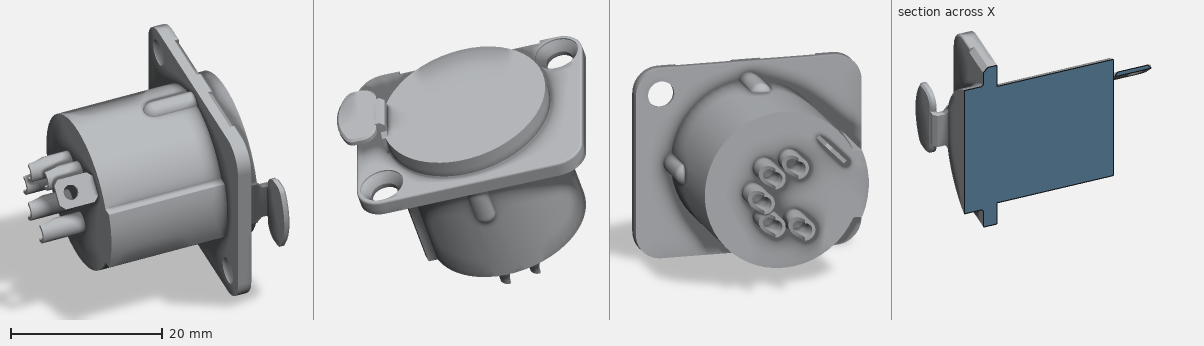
import cadquery as cq
import math


PLATE_WIDTH = 31.0
PLATE_HEIGHT = 26.0
PLATE_THICKNESS = 2.0
PLATE_CORNER_RADIUS = 3.5
PLATE_EDGE_RADIUS = 0.3
SCREW_OFFSET_X = 12.02
SCREW_OFFSET_Z = 9.5
SCREW_RADIUS = 1.798
COUNTERSINK_RADIUS = 2.95
SCREW_LAND = 0.65
LABEL_CHAMFER = 0.7
LABEL_INNER_X = 1.95
LABEL_LENGTH = 7.7

HOUSING_RADIUS = 10.72
HOUSING_LENGTH = 16.55
KEY_RADIUS = 11.82
KEY_WIDTH = 9.07
RIB_RADIUS = 1.44
RIB_CENTRE_RADIUS = 10.27
RIB_STRAIGHT_LENGTH = 5.67

RING_RADIUS = 11.25
RING_FRONT = 4.65
RING_FOOT_CHAMFER = 0.2

LATCH_THICKNESS = 0.8
LATCH_BASE_HALF_WIDTH = 3.3
STEM_HALF_WIDTH = 2.543
STEM_SHOULDER_Y = 5.18
LATCH_BEND_Y = 6.75
LATCH_BEND_CHAMFER = 0.52
PAD_START_X = 11.53
PAD_TIP_X = 16.89
PAD_HALF_WIDTH = 5.05
PAD_TIP_RADIUS = 8.42
PAD_REAR_CORNER_RADIUS = 2.0
PAD_FRONT_CORNER_RADIUS = 1.3
PAD_THICKNESS = 0.87
PAD_EDGE_CHAMFER = 0.3
PAD_TILT = 1.5
PAD_REAR_Y = LATCH_BEND_Y - LATCH_THICKNESS

PIN_RADIUS = 1.43
BORE_RADIUS = 0.97
LONG_TIP = -22.5
SHORT_TIP = -21.55
PINS = [
    (0.75, 4.2, SHORT_TIP, False),
    (-2.72, 3.3, LONG_TIP, True),
    (-4.2, 0.0, LONG_TIP, True),
    (-2.72, -3.3, LONG_TIP, True),
    (1.35, -4.05, LONG_TIP, True),
]
CUP_LENGTH = 2.98
BORE_DEPTH = 4.55
BORE_CONE_HEIGHT = 0.58

TAB_CENTRE_X = 6.05
TAB_CENTRE_Z = 5.73
TAB_WIDTH = 4.08
TAB_THICKNESS = 0.52
TAB_ANGLE = 45.0
TAB_END_Y = -22.03
TAB_CHAMFER = 0.68
TAB_HOLE_Y = -20.05
TAB_HOLE_RADIUS = 1.0

OVERLAP = 0.32


def cylinder(radius, y_start, y_end, x=0.0, z=0.0):
    """Cylinder parallel to Y between two Y positions."""
    length = y_end - y_start
    return cq.Workplane(cq.Solid.makeCylinder(radius, length, cq.Vector(x, y_start, z), cq.Vector(0, 1, 0)))


def cone(radius_start, radius_end, y_start, y_end, x=0.0, z=0.0):
    """Cone frustum parallel to Y between two Y positions."""
    base = cq.Vector(x, y_start, z)
    axis = cq.Vector(0, 1, 0)
    return cq.Workplane(cq.Solid.makeCone(radius_start, radius_end, y_end - y_start, base, axis))


def box(x_range, y_range, z_range):
    """Box between pairs of limits on each axis."""
    sizes = [high - low for low, high in (x_range, y_range, z_range)]
    corner = cq.Vector(x_range[0], y_range[0], z_range[0])
    return cq.Workplane(cq.Solid.makeBox(*sizes, corner))


def make_plate():
    """Rounded plate with a rounded front rim, two screw holes and two label bevels."""
    plate = cq.Workplane("XY").box(PLATE_WIDTH, PLATE_THICKNESS, PLATE_HEIGHT)
    plate = plate.translate((0, PLATE_THICKNESS / 2, 0))
    plate = plate.edges("|Y").fillet(PLATE_CORNER_RADIUS)
    plate = plate.faces(">Y").edges().fillet(PLATE_EDGE_RADIUS)

    sink_end = SCREW_LAND + COUNTERSINK_RADIUS - SCREW_RADIUS
    for side in (-1, 1):
        x = side * SCREW_OFFSET_X
        z = -side * SCREW_OFFSET_Z
        plate = plate.cut(cylinder(SCREW_RADIUS, 0, PLATE_THICKNESS, x, z))
        plate = plate.cut(cone(SCREW_RADIUS, COUNTERSINK_RADIUS, SCREW_LAND, sink_end, x, z))
        plate = plate.cut(cylinder(COUNTERSINK_RADIUS, sink_end, PLATE_THICKNESS, x, z))

    top = PLATE_HEIGHT / 2
    bevel = (
        cq.Workplane("YZ")
        .moveTo(PLATE_THICKNESS, top)
        .lineTo(PLATE_THICKNESS - LABEL_CHAMFER, top)
        .lineTo(PLATE_THICKNESS, top - LABEL_CHAMFER)
        .close()
        .extrude(LABEL_LENGTH)
    )
    for start_x in (-LABEL_INNER_X - LABEL_LENGTH, LABEL_INNER_X):
        plate = plate.cut(bevel.translate((start_x, 0, 0)))
    return plate


def make_housing():
    """Round rear housing with a raised key on +X."""
    housing = cylinder(HOUSING_RADIUS, -HOUSING_LENGTH, OVERLAP)
    key = cylinder(KEY_RADIUS, -HOUSING_LENGTH, OVERLAP)
    key_zone = box((0, KEY_RADIUS), (-HOUSING_LENGTH, OVERLAP), (-KEY_WIDTH / 2, KEY_WIDTH / 2))
    return housing.union(key.intersect(key_zone))


def make_rib(angle):
    """Ball-ended rib beside the housing at the given angle from +X toward +Z."""
    x = RIB_CENTRE_RADIUS * math.cos(math.radians(angle))
    z = RIB_CENTRE_RADIUS * math.sin(math.radians(angle))
    shaft = cylinder(RIB_RADIUS, -RIB_STRAIGHT_LENGTH, OVERLAP, x, z)
    ball = cq.Workplane("XY").sphere(RIB_RADIUS).translate((x, -RIB_STRAIGHT_LENGTH, z))
    return shaft.union(ball)


def make_ring():
    """Front ring with a small chamfered foot on the plate."""
    ring = cylinder(RING_RADIUS, PLATE_THICKNESS - OVERLAP, RING_FRONT)
    foot_end = PLATE_THICKNESS + RING_FOOT_CHAMFER
    foot = cone(RING_RADIUS + RING_FOOT_CHAMFER, RING_RADIUS, PLATE_THICKNESS, foot_end)
    return ring.union(foot)


def make_latch():
    """Bent latch: a stem set flush in the ring and a tilted, rounded thumb pad."""
    stem_outer_x = RING_RADIUS
    stem_inner_x = stem_outer_x - LATCH_THICKNESS
    foot_half_width = STEM_HALF_WIDTH + STEM_SHOULDER_Y - RING_FRONT
    stem = (
        cq.Workplane("YZ", origin=(stem_inner_x, 0, 0))
        .moveTo(PLATE_THICKNESS - OVERLAP, -LATCH_BASE_HALF_WIDTH)
        .lineTo(RING_FRONT, -LATCH_BASE_HALF_WIDTH)
        .lineTo(RING_FRONT, -foot_half_width)
        .lineTo(STEM_SHOULDER_Y, -STEM_HALF_WIDTH)
        .lineTo(LATCH_BEND_Y, -STEM_HALF_WIDTH)
        .lineTo(LATCH_BEND_Y, STEM_HALF_WIDTH)
        .lineTo(STEM_SHOULDER_Y, STEM_HALF_WIDTH)
        .lineTo(RING_FRONT, foot_half_width)
        .lineTo(RING_FRONT, LATCH_BASE_HALF_WIDTH)
        .lineTo(PLATE_THICKNESS - OVERLAP, LATCH_BASE_HALF_WIDTH)
        .close()
        .extrude(LATCH_THICKNESS)
    )
    stem = stem.faces(">Y").edges("<X").chamfer(LATCH_BEND_CHAMFER)
    arm = box(
        (stem_outer_x - OVERLAP, PAD_START_X + OVERLAP),
        (PAD_REAR_Y, LATCH_BEND_Y),
        (-STEM_HALF_WIDTH, STEM_HALF_WIDTH),
    )

    tip_centre_x = PAD_TIP_X - PAD_TIP_RADIUS
    corner_x = tip_centre_x + math.sqrt(PAD_TIP_RADIUS**2 - PAD_HALF_WIDTH**2)
    pad = (
        cq.Workplane("XZ", origin=(0, PAD_REAR_Y, 0))
        .moveTo(PAD_START_X, -PAD_HALF_WIDTH)
        .lineTo(corner_x, -PAD_HALF_WIDTH)
        .threePointArc((PAD_TIP_X, 0), (corner_x, PAD_HALF_WIDTH))
        .lineTo(PAD_START_X, PAD_HALF_WIDTH)
        .close()
        .extrude(-PAD_THICKNESS)
    )
    pad = pad.edges("|Y").edges("<X").fillet(PAD_REAR_CORNER_RADIUS)
    pad = pad.edges("|Y").edges(">X").fillet(PAD_FRONT_CORNER_RADIUS)
    pad = pad.faces(">Y").edges().chamfer(PAD_EDGE_CHAMFER)
    pad = pad.rotate((PAD_START_X, PAD_REAR_Y, 0), (PAD_START_X, PAD_REAR_Y, 1), PAD_TILT)
    return stem.union(arm).union(pad)


def make_pin(x, z, tip_y, conical):
    """Hollow solder cup whose -X side is scooped away at the tip."""
    pin = cylinder(PIN_RADIUS, tip_y, -HOUSING_LENGTH + OVERLAP, x, z)
    bore_end = tip_y + BORE_DEPTH
    pin = pin.cut(cylinder(BORE_RADIUS, tip_y, bore_end, x, z))
    if conical:
        pin = pin.cut(cone(BORE_RADIUS, 0, bore_end, bore_end + BORE_CONE_HEIGHT, x, z))

    scoop_radius = (PIN_RADIUS**2 + CUP_LENGTH**2) / (2 * PIN_RADIUS)
    scoop = (
        cq.Workplane("XY", origin=(x - scoop_radius, tip_y, z))
        .circle(scoop_radius)
        .extrude(PIN_RADIUS + OVERLAP, both=True)
    )
    return pin.cut(scoop)


def make_tab():
    """Flat ground terminal with chamfered corners and an eyelet."""
    length = -HOUSING_LENGTH - TAB_END_Y
    blade = (
        cq.Workplane("XY")
        .box(TAB_WIDTH, length, TAB_THICKNESS)
        .edges("|Z")
        .chamfer(TAB_CHAMFER)
        .translate((0, TAB_END_Y + length / 2, 0))
    )
    root_half_width = TAB_WIDTH / 2 - TAB_CHAMFER
    root = box(
        (-root_half_width, root_half_width),
        (-HOUSING_LENGTH - OVERLAP, -HOUSING_LENGTH + OVERLAP),
        (-TAB_THICKNESS / 2, TAB_THICKNESS / 2),
    )
    eyelet = (
        cq.Workplane("XY", origin=(0, TAB_HOLE_Y, 0))
        .circle(TAB_HOLE_RADIUS)
        .extrude(TAB_THICKNESS, both=True)
    )
    tab = blade.union(root).cut(eyelet)
    tab = tab.rotate((0, 0, 0), (0, 1, 0), TAB_ANGLE)
    return tab.translate((TAB_CENTRE_X, 0, TAB_CENTRE_Z))


result = make_plate().union(make_housing()).union(make_ring()).union(make_latch())
for rib_angle in (90, 180, 270):
    result = result.union(make_rib(rib_angle))
for pin_x, pin_z, pin_tip, pin_conical in PINS:
    result = result.union(make_pin(pin_x, pin_z, pin_tip, pin_conical))
result = result.union(make_tab())